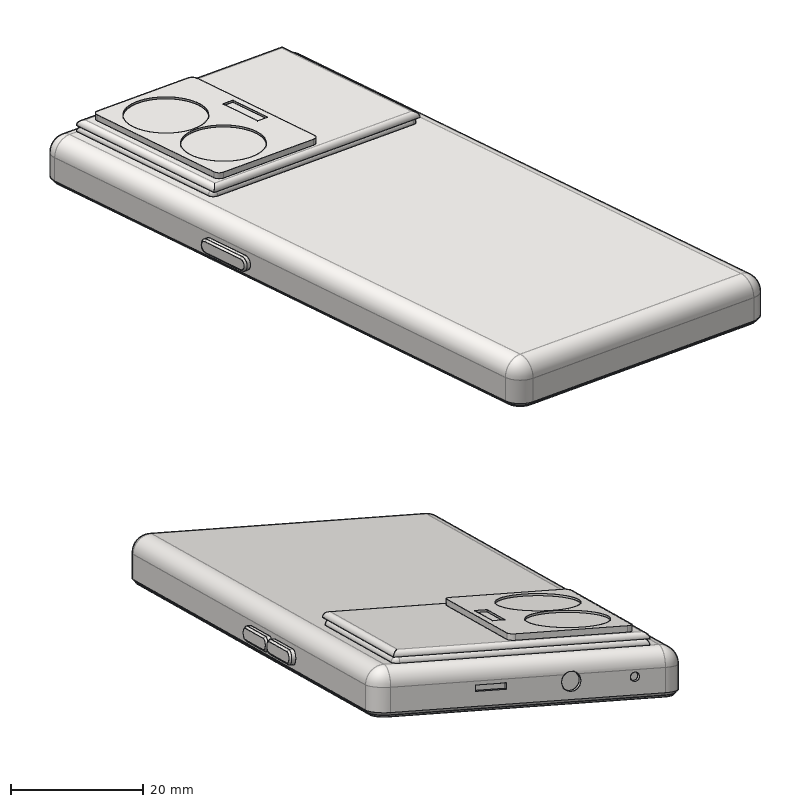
import cadquery as cq
phone_length = 110.0
phone_width = 50.0
back_z = 7.7
rim_radius = 3.0
left_end = -phone_length / 2
side_wall = phone_width / 2

bottom_chamfer = 0.4
screen_thickness = 0.38
screen_chamfer = 0.3
screen_length = phone_length - 2 * bottom_chamfer
screen_width = phone_width - 2 * bottom_chamfer
screen_corner_radius = rim_radius - bottom_chamfer

layer_height = 1.0
edge_radius = 0.94
plate_length = 31.8
plate_width = 41.1
island_inset = 2.9
island_left = left_end + island_inset
plate_z = back_z + layer_height
pad_setback = 0.3
pad_length = plate_length - pad_setback
pad_corner_radius = 1.0

panel_length = 29.0
panel_width = 20.0
panel_corner_radius = 1.0
panel_x = island_left + 15.8
panel_y = -8.5
panel_z = plate_z + layer_height
recess_depth = 0.3
lens_radius = 6.5
lens_pitch = 13.3
lens_y = -10.7
flash_length = 8.0
flash_width = 2.0
flash_y = -0.5

button_length = 10.6
button_height = 2.4
button_reach = 1.0
button_chamfer = 0.3
button_z = 2.8
power_x = left_end + 42.9
volume_x = left_end + 44.8

port_z = 3.6
port_depth = 0.8
slot_length = 5.0
slot_height = 1.0
slot_y = 5.9
jack_radius = 1.5
jack_y = -6.9
microphone_radius = 0.72
microphone_y = -17.2


def slab(length, width, height, x, y, z):
    """Rectangular block centred on x and y, standing on height z."""
    return cq.Workplane("XY", origin=(x, y, z)).rect(length, width).extrude(height)


def left_end_plane(y):
    """Sketch plane on the left end at port height, with its normal pointing into the phone."""
    return cq.Workplane("YZ", origin=(left_end, y, port_z))


def make_housing():
    housing = slab(phone_length, phone_width, back_z - screen_thickness, 0, 0, screen_thickness)
    housing = housing.edges("|Z").fillet(rim_radius)
    housing = housing.faces(">Z").edges().fillet(rim_radius)
    housing = housing.faces("<Z").edges().chamfer(bottom_chamfer)
    slot = left_end_plane(slot_y).rect(slot_length, slot_height).extrude(port_depth)
    jack = left_end_plane(jack_y).circle(jack_radius).extrude(port_depth)
    microphone = left_end_plane(microphone_y).circle(microphone_radius).extrude(port_depth)
    return housing.cut(slot).cut(jack).cut(microphone)


def make_screen():
    screen = slab(screen_length, screen_width, screen_thickness, 0, 0, 0)
    screen = screen.edges("|Z").fillet(screen_corner_radius)
    return screen.faces("<Z").edges().chamfer(screen_chamfer)


def make_base_pad():
    """Pad with a rounded top rim; its corner by the phone's left end on the -Y side stays sharp."""
    pad = slab(pad_length, plate_width, layer_height, island_left + pad_length / 2, 0, back_z)
    pad = pad.edges("|Z and (>X or >Y)").fillet(pad_corner_radius)
    return pad.faces(">Z").edges().fillet(edge_radius)


def make_plate():
    plate = slab(plate_length, plate_width, layer_height, island_left + plate_length / 2, 0, plate_z)
    return plate.faces(">Z").edges().fillet(edge_radius)


def make_panel():
    panel = slab(panel_length, panel_width, layer_height, panel_x, panel_y, panel_z)
    panel = panel.edges("|Z").fillet(panel_corner_radius)
    recess_floor = panel_z + layer_height - recess_depth
    panel = panel.cut(slab(flash_length, flash_width, recess_depth, panel_x, flash_y, recess_floor))
    for side in (-1, 1):
        lens_x = panel_x + side * lens_pitch / 2
        lens = cq.Workplane("XY", origin=(lens_x, lens_y, recess_floor)).circle(lens_radius).extrude(recess_depth)
        panel = panel.cut(lens)
    return panel


def make_button(x, side):
    """Stadium-shaped button standing out of the wall on the given side: +1 for +Y, -1 for -Y."""
    button = (
        cq.Workplane("XZ", origin=(x, side * side_wall, button_z))
        .slot2D(button_length, button_height)
        .extrude(-side * button_reach)
    )
    outer_face = ">Y" if side > 0 else "<Y"
    return button.faces(outer_face).edges().chamfer(button_chamfer)


housing = make_housing()
screen = make_screen()
base_pad = make_base_pad()
plate = make_plate()
panel = make_panel()
power_button = make_button(power_x, -1)
volume_buttons = [make_button(volume_x + step * button_length / 2, 1) for step in (-1, 1)]

result = cq.Compound.makeCompound(
    [
        housing.val(),
        screen.val(),
        base_pad.val(),
        plate.val(),
        panel.val(),
        power_button.val(),
        *[button.val() for button in volume_buttons],
    ]
)